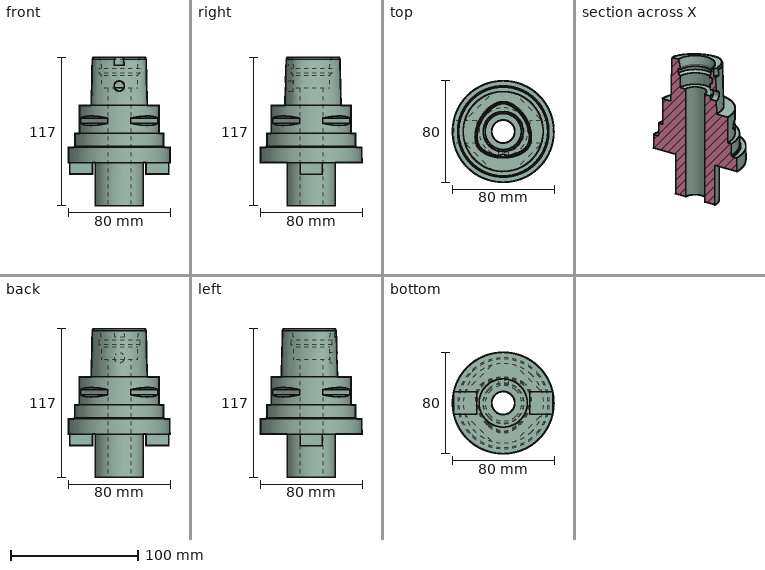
import cadquery as cq
import math


SHANK_LENGTH = 38.0
SHANK_BASE_RADIUS = 22.2
SHANK_LOBE_HEIGHT = 1.4
SHANK_TAPER = 1 / 40
NOSE_CHAMFER_HEIGHT = 1.8
NOSE_CHAMFER_WIDTH = 0.8
OUTLINE_POINTS = 48

GRIP_RADIUS = 31.5
GRIP_DEPTH = 22.0
COLLAR_RADIUS = 35.0
FLANGE_TOP_DEPTH = 33.0
FLANGE_RADIUS = 40.0
FLANGE_THICKNESS = 12.0
COLLAR_FOOT_CHAMFER = 1.0
SPIGOT_RADIUS = 19.0
SPIGOT_LENGTH = 34.0
FLANGE_BOTTOM_DEPTH = FLANGE_TOP_DEPTH + FLANGE_THICKNESS
TOTAL_DEPTH = FLANGE_BOTTOM_DEPTH + SPIGOT_LENGTH

THROUGH_BORE_RADIUS = 9.0
CLAMP_BORE_RADIUS = 14.2
CLAMP_BORE_DEPTH = 24.0
BORE_MOUTH_RADIUS = 15.75
BORE_MOUTH_DEPTH = 6.7
GROOVE_TOP_DEPTH = 8.6
GROOVE_RADIUS = 16.2
GROOVE_BOTTOM_DEPTH = 14.2
GROOVE_FLANK = GROOVE_RADIUS - CLAMP_BORE_RADIUS

NOTCH_RADIUS = 5.0
NOTCH_REACH = 18.0
NOTCH_DEPTH = 6.4
SIDE_HOLE_RADIUS = 4.0
SIDE_HOLE_DROP = 22.7
SIDE_HOLE_END = 14.6

SLOT_COUNT = 4
SLOT_FIRST_ANGLE = 45.0
SLOT_FLOOR_LENGTH = 30.0
SLOT_FLOOR_HEIGHT = 4.0
SLOT_FLANK_ANGLE = 25.0
SLOT_CENTRE_DEPTH = 12.0
SLOT_FLOOR_DISTANCE = math.sqrt(GRIP_RADIUS**2 - (SLOT_FLOOR_LENGTH / 2) ** 2)

KEY_WIDTH = 17.5
KEY_HEIGHT = 9.0
KEY_INNER = 21.0
KEY_OUTER = 39.1


def polygon_point(radius, angle):
    """Point on the three-lobed curve whose support function is radius + lobe * cos(3 * angle)."""
    lobe = SHANK_LOBE_HEIGHT
    along_lobe = radius * math.cos(angle) + lobe * (2 * math.cos(2 * angle) - math.cos(4 * angle))
    across_lobe = radius * math.sin(angle) - lobe * (2 * math.sin(2 * angle) + math.sin(4 * angle))
    return (-across_lobe, along_lobe)


def polygon_frustum(bottom_radius, top_radius, bottom_z, height):
    """Straight-sided loft between two three-lobed outlines, with its seam on the -Y side."""
    wires = []
    for radius, z in ((bottom_radius, bottom_z), (top_radius, bottom_z + height)):
        points = []
        for index in range(OUTLINE_POINTS):
            x, y = polygon_point(radius, math.pi + 2 * math.pi * index / OUTLINE_POINTS)
            points.append(cq.Vector(x, y, z))
        edge = cq.Edge.makeSpline(points, periodic=True)
        wires.append(cq.Wire.assembleEdges([edge]))
    return cq.Workplane(cq.Solid.makeLoft(wires, True))


def make_shank():
    taper_height = SHANK_LENGTH - NOSE_CHAMFER_HEIGHT
    radius_at_chamfer = SHANK_BASE_RADIUS - SHANK_TAPER * taper_height
    nose_radius = radius_at_chamfer - NOSE_CHAMFER_WIDTH
    taper = polygon_frustum(SHANK_BASE_RADIUS, radius_at_chamfer, 0, taper_height)
    nose = polygon_frustum(radius_at_chamfer, nose_radius, taper_height, NOSE_CHAMFER_HEIGHT)
    return taper.union(nose)


def revolve_profile(points):
    """Revolve (radius, z) points around Z."""
    return cq.Workplane("XZ").polyline(points).close().revolve(360, (0, 0), (0, 1))


def make_body():
    return revolve_profile([
        (0, 0),
        (GRIP_RADIUS, 0),
        (GRIP_RADIUS, -GRIP_DEPTH),
        (COLLAR_RADIUS, -GRIP_DEPTH),
        (COLLAR_RADIUS, -FLANGE_TOP_DEPTH + COLLAR_FOOT_CHAMFER),
        (COLLAR_RADIUS + COLLAR_FOOT_CHAMFER, -FLANGE_TOP_DEPTH),
        (FLANGE_RADIUS, -FLANGE_TOP_DEPTH),
        (FLANGE_RADIUS, -FLANGE_BOTTOM_DEPTH),
        (SPIGOT_RADIUS, -FLANGE_BOTTOM_DEPTH),
        (SPIGOT_RADIUS, -TOTAL_DEPTH),
        (0, -TOTAL_DEPTH),
    ])


def make_bore():
    nose = SHANK_LENGTH
    return revolve_profile([
        (0, nose),
        (BORE_MOUTH_RADIUS, nose),
        (CLAMP_BORE_RADIUS, nose - BORE_MOUTH_DEPTH),
        (CLAMP_BORE_RADIUS, nose - GROOVE_TOP_DEPTH),
        (GROOVE_RADIUS, nose - GROOVE_TOP_DEPTH),
        (GROOVE_RADIUS, nose - GROOVE_BOTTOM_DEPTH + GROOVE_FLANK),
        (CLAMP_BORE_RADIUS, nose - GROOVE_BOTTOM_DEPTH),
        (CLAMP_BORE_RADIUS, nose - CLAMP_BORE_DEPTH),
        (THROUGH_BORE_RADIUS, nose - CLAMP_BORE_DEPTH),
        (THROUGH_BORE_RADIUS, -TOTAL_DEPTH),
        (0, -TOTAL_DEPTH),
    ])


def make_notch():
    return (
        cq.Workplane("XY", origin=(0, -NOTCH_REACH - NOTCH_RADIUS, SHANK_LENGTH - NOTCH_DEPTH))
        .circle(NOTCH_RADIUS)
        .extrude(NOTCH_DEPTH)
    )


def make_side_hole():
    return (
        cq.Workplane("XZ", origin=(0, -SIDE_HOLE_END, SHANK_LENGTH - SIDE_HOLE_DROP))
        .circle(SIDE_HOLE_RADIUS)
        .extrude(SHANK_BASE_RADIUS - SIDE_HOLE_END)
    )


def make_slot(angle):
    """Flat-bottomed slot whose flanks open outward."""
    depth = GRIP_RADIUS - SLOT_FLOOR_DISTANCE
    half_floor = SLOT_FLOOR_HEIGHT / 2
    half_mouth = half_floor + depth * math.tan(math.radians(SLOT_FLANK_ANGLE))
    slot = (
        cq.Workplane("XZ", origin=(0, GRIP_RADIUS, -SLOT_CENTRE_DEPTH))
        .polyline([
            (SLOT_FLOOR_DISTANCE, -half_floor),
            (GRIP_RADIUS, -half_mouth),
            (GRIP_RADIUS, half_mouth),
            (SLOT_FLOOR_DISTANCE, half_floor),
        ])
        .close()
        .extrude(2 * GRIP_RADIUS)
    )
    return slot.rotate((0, 0, 0), (0, 0, 1), angle)


def make_key(side):
    length = KEY_OUTER - KEY_INNER
    centre_x = side * (KEY_INNER + KEY_OUTER) / 2
    centre_z = -FLANGE_BOTTOM_DEPTH - KEY_HEIGHT / 2
    return cq.Workplane("XY").box(length, KEY_WIDTH, KEY_HEIGHT).translate((centre_x, 0, centre_z))


result = make_body().union(make_shank())
for side in (-1, 1):
    result = result.union(make_key(side))
for index in range(SLOT_COUNT):
    result = result.cut(make_slot(SLOT_FIRST_ANGLE + index * 360 / SLOT_COUNT))
result = result.cut(make_bore()).cut(make_notch()).cut(make_side_hole())